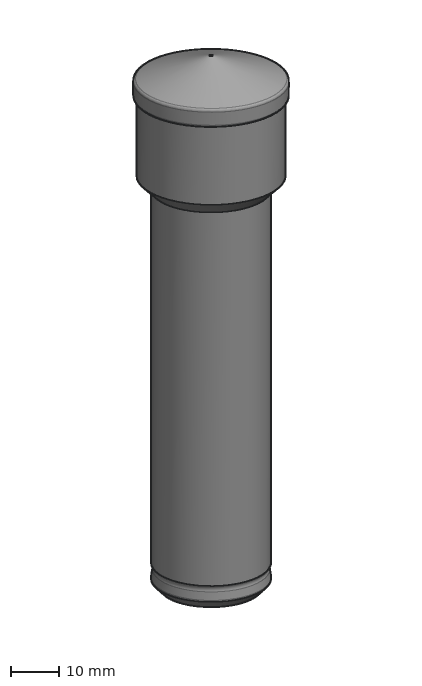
import cadquery as cq

total_height = 120.0
shank_radius = 12.5
head_radius = 15.5
collar_radius = 16.2

lead_in_height = 2.0
lead_in_width = 1.9
bottom_radius = shank_radius - lead_in_width
land_height = 0.4
land_top_z = lead_in_height + land_height

groove_depth = 0.4
taper_depth = 0.3
taper_top_z = 4.2
groove_top_z = 5.6
groove_deepest_z = 4.8

shoulder_bottom_z = 89.9
shoulder_top_z = shoulder_bottom_z + (head_radius - shank_radius)

collar_bottom_z = 110.5
collar_top_z = 114.65
rim_round = collar_radius - head_radius
tip_radius = 0.4


def pin_body():
    """Full turned body, revolved from half its section in the XZ plane."""
    return (
        cq.Workplane("XZ")
        .lineTo(bottom_radius, 0)
        .lineTo(shank_radius, lead_in_height)
        .lineTo(shank_radius, land_top_z)
        .lineTo(shank_radius - taper_depth, taper_top_z)
        .threePointArc(
            (shank_radius - groove_depth, groove_deepest_z),
            (shank_radius, groove_top_z),
        )
        .lineTo(shank_radius, shoulder_bottom_z)
        .lineTo(head_radius, shoulder_top_z)
        .lineTo(head_radius, collar_bottom_z)
        .radiusArc((collar_radius, collar_bottom_z + rim_round), -rim_round)
        .lineTo(collar_radius, collar_top_z)
        .lineTo(tip_radius, total_height)
        .lineTo(0, total_height)
        .close()
        .revolve(360, (0, 0, 0), (0, 1, 0))
    )


def round_upper_rim(body):
    """Round the edge where the collar meets the conical cap."""
    widest_edges = body.edges(cq.selectors.RadiusNthSelector(-1))
    return widest_edges.edges(">Z").fillet(rim_round)


result = round_upper_rim(pin_body())